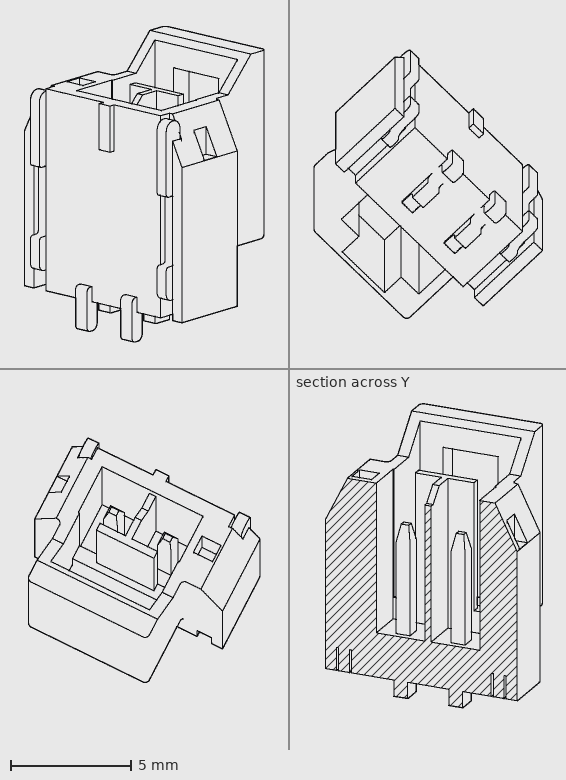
import cadquery as cq
import math


OVERALL_HEIGHT = 11.43

HOUSING_WIDTH = 8.74
HOUSING_DEPTH = 3.46
HOUSING_HEIGHT = 8.71
CORNER_CUT_WIDTH = 1.01
CORNER_CUT_HEIGHT = 2 * CORNER_CUT_WIDTH

PLUG_CENTER = 0.31
SHROUD_WIDTH = 5.61
SHROUD_REAR = 6.69
SHROUD_BOTTOM = 2.01
SHROUD_TOP = 10.17
SLANT_FOOT_Y = 4.31
SLANT_TOP_Y = 5.74
SHROUD_INNER_WIDTH = 4.6
SHROUD_INNER_REAR = 5.47
EDGE_RADIUS = 0.21

RECESS_WIDTH = 2.5
RECESS_DEPTH = 0.97
RECESS_TOP = 8.89

CAVITY_WIDTH = 4.7
CAVITY_FRONT = 0.64
CAVITY_REAR = 2.83
CAVITY_FLOOR = 2.0
SILL_TOP = 2.97
BAR_WIDTH = 2.67
BAR_THICKNESS = 0.33
RIB_THICKNESS = 0.3
RIB_SLOPE_REAR = 1.95
RIB_SLOPE_RUN = 0.62

KEY_WIDTH = 0.61
KEY_DEPTH = 0.26
KEY_HEIGHT = 1.99

TAB_OFFSET = 3.52
TAB_WIDTH = 0.5
SLOT_WIDTH = 0.66
SLOT_DEPTH = 0.55
SLOT_OPEN_HEIGHT = 1.03
SOLDER_FACE = -0.31
TAB_TOP = 8.57
TAB_HEAD_RADIUS = 0.41
TAB_STRIP_FRONT = 0.2
UPPER_PAD_BOTTOM = 5.34
LOWER_PAD_TOP = 2.33
PAD_RADIUS = 0.15
TAB_BEND_BOTTOM = 0.87
TAB_BEND_OUTER = 0.3
TAB_BEND_INNER = 0.49
TAB_LEG_FRONT = 0.88
TAB_LEG_THICKNESS = 0.5
TAB_LEG_RADIUS = 0.18

POCKET_WIDTH = 0.89
POCKET_FRONT = 1.42
POCKET_REAR = 2.2
POCKET_DEPTH = 2.0
POCKET_CENTER = 0.7

PIN_PITCH = 2.5
PIN_SIZE = 0.64
PIN_CENTER_Y = 1.73
PIN_TOP = 6.86
PIN_TIP_LENGTH = 0.77
PIN_TIP_WIDTH = 0.34
PIN_TIP_DEPTH = 0.25
FOOT_BOTTOM = SHROUD_TOP - OVERALL_HEIGHT
FOOT_TOP = 0.65
FOOT_RADIUS = 0.2
FOOT_HEEL_RADIUS = 0.3
FOOT_FILLET = 0.17
STUB_FRONT = 1.13
STUB_BOTTOM = -0.73
STUB_FILLET = 0.23
STUB_CORNER_RADIUS = 0.06
STUB_LEDGE_REAR = 2.66
STUB_LEDGE_BOTTOM = -0.14


def block(center_x, width, y_front, y_rear, z_bottom, z_top):
    """Rectangular block centred on center_x."""
    return (
        cq.Workplane("XY")
        .box(width, y_rear - y_front, z_top - z_bottom, centered=(True, False, False))
        .translate((center_x, y_front, z_bottom))
    )


def side_extrusion(center_x, width, outline):
    """Extrude a straight-sided (y, z) outline to both sides of center_x."""
    plane = cq.Workplane("YZ", origin=(center_x, 0, 0))
    return plane.polyline(outline).close().extrude(width / 2, both=True)


def direction(start, end):
    """Unit vector from start to end in the YZ plane."""
    length = math.dist(start, end)
    return (end[0] - start[0]) / length, (end[1] - start[1]) / length


def rounded_strip(center_x, width, corners):
    """Extrude a (y, z, radius) outline; rounded corners are right angles and the first corner is sharp."""
    plane = cq.Workplane("YZ", origin=(center_x, 0, 0))
    points = [(y, z) for y, z, _ in corners]
    outline = plane.moveTo(*points[0])
    for index in range(1, len(corners)):
        y, z, radius = corners[index]
        if radius == 0:
            outline = outline.lineTo(y, z)
            continue
        back = direction(points[index], points[index - 1])
        ahead = direction(points[index], points[(index + 1) % len(points)])
        inset = radius * (1 - math.sqrt(0.5))
        arc_middle = (y + inset * (back[0] + ahead[0]), z + inset * (back[1] + ahead[1]))
        arc_start = (y + radius * back[0], z + radius * back[1])
        arc_end = (y + radius * ahead[0], z + radius * ahead[1])
        outline = outline.lineTo(*arc_start).threePointArc(arc_middle, arc_end)
    return outline.close().extrude(width / 2, both=True)


def housing():
    half = HOUSING_WIDTH / 2
    shoulder_z = HOUSING_HEIGHT - CORNER_CUT_HEIGHT
    outline = [
        (-half, 0),
        (half, 0),
        (half, shoulder_z),
        (half - CORNER_CUT_WIDTH, HOUSING_HEIGHT),
        (CORNER_CUT_WIDTH - half, HOUSING_HEIGHT),
        (-half, shoulder_z),
    ]
    return cq.Workplane("XZ").polyline(outline).close().extrude(-HOUSING_DEPTH)


def shroud():
    """Outer form of the shroud, reaching forward to overlap the housing."""
    overlap_y = CAVITY_REAR
    outline = [
        (overlap_y, SHROUD_BOTTOM),
        (SHROUD_REAR, SHROUD_BOTTOM),
        (SHROUD_REAR, SHROUD_TOP),
        (SLANT_TOP_Y, SHROUD_TOP),
        (SLANT_FOOT_Y, HOUSING_HEIGHT),
        (overlap_y, HOUSING_HEIGHT),
    ]
    rear_and_bottom_edges = "(>Y and |Z) or (<Z and |Y) or (>Y and <Z)"
    return side_extrusion(PLUG_CENTER, SHROUD_WIDTH, outline).edges(rear_and_bottom_edges).fillet(EDGE_RADIUS)


def joined_shell():
    """Housing and shroud with the rounded inside corner where they meet."""
    tolerance = 0.01
    reach = SHROUD_WIDTH / 2 + tolerance
    seam = cq.selectors.BoxSelector(
        (PLUG_CENTER - reach, HOUSING_DEPTH - tolerance, SHROUD_BOTTOM - tolerance),
        (PLUG_CENTER + reach, HOUSING_DEPTH + tolerance, HOUSING_HEIGHT - tolerance),
    )
    return housing().union(shroud()).edges(seam).fillet(EDGE_RADIUS)


def plug_opening():
    """Space removed for the mating plug and its latch."""
    cavity = block(PLUG_CENTER, CAVITY_WIDTH, CAVITY_FRONT, CAVITY_REAR, CAVITY_FLOOR, SHROUD_TOP)
    over_sill = block(PLUG_CENTER, SHROUD_INNER_WIDTH, CAVITY_REAR, HOUSING_DEPTH, SILL_TOP, SHROUD_TOP)
    latch_space = block(PLUG_CENTER, SHROUD_INNER_WIDTH, HOUSING_DEPTH, SHROUD_INNER_REAR, 0, SHROUD_TOP)
    recess_rear = SHROUD_INNER_REAR + RECESS_DEPTH
    recess = block(PLUG_CENTER, RECESS_WIDTH, SHROUD_INNER_REAR, recess_rear, 0, RECESS_TOP)
    return cavity.union(over_sill).union(latch_space).union(recess)


def divider():
    """T-shaped wall: a bar across the rear and a rib that slopes down to the front."""
    bar_rear = CAVITY_REAR + BAR_THICKNESS
    bar = block(PLUG_CENTER, BAR_WIDTH, CAVITY_REAR, bar_rear, CAVITY_FLOOR, HOUSING_HEIGHT)
    rib_low_z = HOUSING_HEIGHT - RIB_SLOPE_RUN
    outline = [
        (CAVITY_FRONT, CAVITY_FLOOR),
        (CAVITY_REAR, CAVITY_FLOOR),
        (CAVITY_REAR, HOUSING_HEIGHT),
        (RIB_SLOPE_REAR, HOUSING_HEIGHT),
        (RIB_SLOPE_REAR - RIB_SLOPE_RUN, rib_low_z),
        (CAVITY_FRONT, rib_low_z),
    ]
    rib = side_extrusion(PLUG_CENTER, RIB_THICKNESS, outline)
    return bar.union(rib)


def polarity_key():
    return block(PLUG_CENTER, KEY_WIDTH, -KEY_DEPTH, 0, HOUSING_HEIGHT - KEY_HEIGHT, HOUSING_HEIGHT)


def tab_slot(center_x):
    """Slot in the front face that runs right through to the rear near the bottom."""
    front_slot = block(center_x, SLOT_WIDTH, 0, SLOT_DEPTH, 0, HOUSING_HEIGHT)
    bottom_slot = block(center_x, SLOT_WIDTH, 0, HOUSING_DEPTH, 0, SLOT_OPEN_HEIGHT)
    return front_slot.union(bottom_slot)


def top_pocket(center_x):
    pocket_floor = HOUSING_HEIGHT - POCKET_DEPTH
    return block(center_x, POCKET_WIDTH, POCKET_FRONT, POCKET_REAR, pocket_floor, HOUSING_HEIGHT)


def solder_tab(center_x):
    """Bent tab: round-topped upper pad, lower pad and a leg bent back inside the slot."""
    leg_rear = TAB_LEG_FRONT + TAB_LEG_THICKNESS
    leg_top = TAB_BEND_BOTTOM + TAB_LEG_THICKNESS
    corners = [
        (SLOT_DEPTH, leg_top, 0),
        (SLOT_DEPTH, TAB_TOP, TAB_HEAD_RADIUS),
        (SOLDER_FACE, TAB_TOP, TAB_HEAD_RADIUS),
        (SOLDER_FACE, UPPER_PAD_BOTTOM, PAD_RADIUS),
        (TAB_STRIP_FRONT, UPPER_PAD_BOTTOM, PAD_RADIUS),
        (TAB_STRIP_FRONT, LOWER_PAD_TOP, PAD_RADIUS),
        (SOLDER_FACE, LOWER_PAD_TOP, PAD_RADIUS),
        (SOLDER_FACE, TAB_BEND_BOTTOM, TAB_BEND_OUTER),
        (TAB_LEG_FRONT, TAB_BEND_BOTTOM, TAB_BEND_INNER),
        (TAB_LEG_FRONT, 0, TAB_LEG_RADIUS),
        (leg_rear, 0, TAB_LEG_RADIUS),
        (leg_rear, leg_top, 0),
    ]
    return rounded_strip(center_x, TAB_WIDTH, corners)


def contact_pin(center_x):
    """Square pin with a tapered tip, a soldering foot in front and a stub below."""
    pin_rear = PIN_CENTER_Y + PIN_SIZE / 2
    foot_rear = SOLDER_FACE + PIN_SIZE
    corners = [
        (STUB_LEDGE_REAR, FOOT_TOP, 0),
        (SOLDER_FACE, FOOT_TOP, FOOT_RADIUS),
        (SOLDER_FACE, FOOT_BOTTOM, FOOT_RADIUS),
        (foot_rear, FOOT_BOTTOM, FOOT_HEEL_RADIUS),
        (foot_rear, 0, FOOT_FILLET),
        (STUB_FRONT, 0, STUB_FILLET),
        (STUB_FRONT, STUB_BOTTOM, STUB_CORNER_RADIUS),
        (pin_rear, STUB_BOTTOM, 0),
        (pin_rear, STUB_LEDGE_BOTTOM, STUB_FILLET),
        (STUB_LEDGE_REAR, STUB_LEDGE_BOTTOM, 0),
    ]
    base = rounded_strip(center_x, PIN_SIZE, corners)
    tip_base = PIN_TOP - PIN_TIP_LENGTH
    shaft = block(center_x, PIN_SIZE, PIN_CENTER_Y - PIN_SIZE / 2, pin_rear, 0, tip_base)
    tip = (
        cq.Workplane("XY", origin=(center_x, PIN_CENTER_Y, tip_base))
        .rect(PIN_SIZE, PIN_SIZE)
        .workplane(offset=PIN_TIP_LENGTH)
        .rect(PIN_TIP_WIDTH, PIN_TIP_DEPTH)
        .loft()
    )
    return base.union(shaft).union(tip)


result = joined_shell().cut(plug_opening()).union(divider()).union(polarity_key())

for side in (-1, 1):
    result = result.cut(top_pocket(POCKET_CENTER + side * TAB_OFFSET))
    result = result.cut(tab_slot(side * TAB_OFFSET))
    result = result.union(solder_tab(side * TAB_OFFSET))
    result = result.union(contact_pin(PLUG_CENTER + side * PIN_PITCH / 2))